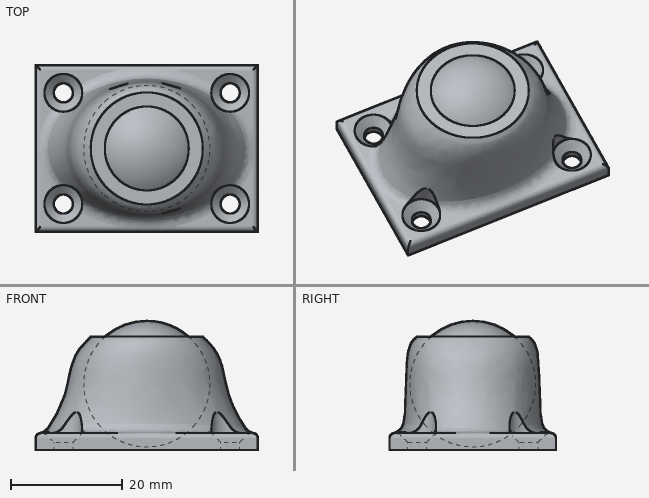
import cadquery as cq

PLATE_LENGTH = 40.0
PLATE_WIDTH = 30.0
PLATE_HEIGHT = 3.1
PLATE_EDGE_RADIUS = 1.0

HOUSING_TOP = 20.4
TOP_FACE_RADIUS = 10.1
BELL_SECTIONS = [
    (PLATE_HEIGHT, 18.5, 13.1),
    (5.6, 16.7, 12.4),
    (9.6, 14.9, 12.1),
    (12.8, 14.1, 12.0),
    (15.75, 13.35, 11.9),
    (18.35, 12.0, 11.5),
    (HOUSING_TOP, TOP_FACE_RADIUS, TOP_FACE_RADIUS),
]
BELL_FOOT_RADIUS = 2.1

HOLE_DIAMETER = 3.4
HOLE_SPACING_X = 30.0
HOLE_SPACING_Y = 20.0
COUNTERSINK_DIAMETER = 2 * HOLE_DIAMETER
COUNTERSINK_DEPTH = (COUNTERSINK_DIAMETER - HOLE_DIAMETER) / 2

BALL_TOP = 23.3
BALL_OPENING_RADIUS = 7.55
CAP_HEIGHT = BALL_TOP - HOUSING_TOP
BALL_RADIUS = (BALL_OPENING_RADIUS**2 + CAP_HEIGHT**2) / (2 * CAP_HEIGHT)
BALL_CENTER_Z = BALL_TOP - BALL_RADIUS


def make_plate():
    """Plain rectangular plate standing on Z = 0."""
    return cq.Workplane("XY").box(PLATE_LENGTH, PLATE_WIDTH, PLATE_HEIGHT, centered=(True, True, False))


def make_bell():
    """Smooth loft from an ellipse on the plate to the round top face."""
    wires = []
    for height, half_length, half_width in BELL_SECTIONS:
        section = cq.Workplane("XY", origin=(0, 0, height)).ellipse(half_length, half_width)
        wires.append(section.val())
    return cq.Workplane(cq.Solid.makeLoft(wires))


def fillet_bell_foot(body):
    """Flare the bell into the plate along the curved edge between them."""
    plate_top = body.faces("+Z").faces("<Z")
    return plate_top.edges("not %LINE").fillet(BELL_FOOT_RADIUS)


def round_plate_edges(body):
    """Round the upper rim of the plate, keeping the bell above it."""
    plate_top = body.faces("+Z").faces("<Z")
    return plate_top.edges("%LINE").fillet(PLATE_EDGE_RADIUS)


def make_hole_cutter():
    """Through hole, cone and the clearance for the screw head above it."""
    cone_bottom = PLATE_HEIGHT - COUNTERSINK_DEPTH
    return (
        cq.Workplane("XZ")
        .lineTo(HOLE_DIAMETER / 2, 0)
        .lineTo(HOLE_DIAMETER / 2, cone_bottom)
        .lineTo(COUNTERSINK_DIAMETER / 2, PLATE_HEIGHT)
        .lineTo(COUNTERSINK_DIAMETER / 2, HOUSING_TOP)
        .lineTo(0, HOUSING_TOP)
        .close()
        .revolve(360, (0, 0, 0), (0, 1, 0))
    )


def make_hole_cutters():
    """One cutter at each corner of the hole pattern."""
    hole_cutter = make_hole_cutter()
    cutters = []
    for side_x in (-1, 1):
        for side_y in (-1, 1):
            position = (side_x * HOLE_SPACING_X / 2, side_y * HOLE_SPACING_Y / 2, 0)
            cutters.append(hole_cutter.val().translate(cq.Vector(position)))
    return cq.Workplane().newObject([cq.Compound.makeCompound(cutters)])


def make_ball():
    return cq.Workplane("XY", origin=(0, 0, BALL_CENTER_Z)).sphere(BALL_RADIUS)


def make_housing():
    """Plate and bell with a spherical seat and four mounting holes."""
    body = fillet_bell_foot(make_plate().union(make_bell()))
    body = round_plate_edges(body)
    body = body.cut(make_hole_cutters(), clean=False)
    return body.cut(make_ball(), clean=False).solids()


housing = make_housing()
ball = make_ball()
result = cq.Compound.makeCompound([housing.val(), ball.val()])